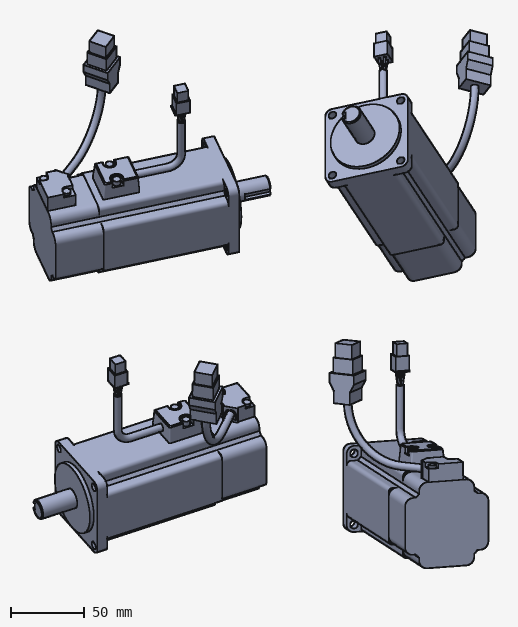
import cadquery as cq
import math

overall_length = 160.7
side = 60.0
half_side = side / 2
shaft_length = 30.0
shaft_dia = 14.0
shaft_chamfer = 0.8
key_width = 5.0
key_depth = 3.0
key_length = 18.8
flange_front = overall_length - shaft_length
flange_thickness = 7.7
flange_round = 5.0
bolt_offset = 24.7
bolt_dia = 5.5
pilot_dia = 50.0
pilot_height = 3.0
cover_length = 34.2
cover_step = 0.08
cover_half_side = half_side - cover_step

arm_half_width = 19.8
notch_chamfer = 2.4
body_round = 2.9
cover_round = 5.8

cable_dia = 5.5
cable_height = 35.5
screw_dia = 5.5

power_box_y = 52.4
power_box_width = 24.7
power_box_length = 26.0
power_box_top = 43.0
power_rim = 0.8
power_side_taper = 1.1
power_front_taper = 0.6
power_rear_taper = 1.3
power_edge_round = 1.0
power_screw_x = 8.0
power_screw_y = 50.3
power_pocket_dia = 7.9
power_pocket_floor = 38.4
power_pocket_chamfer = 0.6
power_screw_top = 42.5

power_riser_y = 98.7
power_bend_radius = 10.0
power_cable_end = 75.5
wire_dia = 1.5
wire_spread_start = 1.0
wire_spread_end = 2.1
plug_bottom = 85.7
plug_shoulder = 96.6
plug_top = 105.1
plug_base_width = 9.8
plug_tip_width = 7.9
plug_lip_thickness = 1.0
plug_lip_reach = 0.8

encoder_left = -13.0
encoder_right = 11.7
encoder_rear = cover_step
encoder_length = 20.0
encoder_top = 42.1
encoder_screws = ((7.9, 14.8, 1, 1), (-9.0, 3.9, -1, -1))
encoder_pocket_radius = 3.0
encoder_pocket_floor = 39.0
encoder_screw_top = 41.0
pad_width = 10.6
pad_thickness = 1.1
pad_distance = 19.3
entry_dia = 7.9
entry_depth = 0.8
entry_sill = 31.8

encoder_bend_radius = 40.8
encoder_cable_offset = 5.1
encoder_plug_distance = 77.5
encoder_plug_width = 18.5
encoder_neck_width = 12.2
encoder_middle_width = 14.8
encoder_tip_width = 12.7
encoder_neck_top = 84.8
encoder_flare_top = 90.6
encoder_plug_shoulder = 97.0
encoder_middle_top = 107.5
encoder_plug_top = 117.5


def along_y(start):
    """Workplane with local axes X and Z at Y = start; a negative extrusion runs toward +Y."""
    return cq.Workplane("XZ", origin=(0, start, 0))


def block(width, length, bottom, top, y=0):
    """Box centred on X = 0 and the given Y, between two heights."""
    return cq.Workplane("XY", origin=(0, y, bottom)).rect(width, length).extrude(top - bottom)


def cylinder(x, y, diameter, bottom, top):
    return cq.Workplane("XY", origin=(x, y, bottom)).circle(diameter / 2).extrude(top - bottom)


def notched_length(start, end, half, edge_round):
    """Square length of the motor body with a rounded notch along each corner."""
    arm = arm_half_width
    notch = (
        along_y(start)
        .moveTo(arm - edge_round, half)
        .radiusArc((arm, half - edge_round), edge_round)
        .lineTo(arm, arm + notch_chamfer)
        .lineTo(arm + notch_chamfer, arm)
        .lineTo(half - edge_round, arm)
        .radiusArc((half, arm - edge_round), edge_round)
        .lineTo(half, half)
        .close()
        .extrude(start - end)
    )
    length = along_y(start).rect(2 * half, 2 * half).extrude(start - end)
    for quarter in range(4):
        length = length.cut(notch.rotate((0, 0, 0), (0, 1, 0), 90 * quarter))
    return length


def motor():
    flange_rear = flange_front - flange_thickness
    pilot_front = flange_front + pilot_height
    flange = along_y(flange_rear).rect(side, side).extrude(-flange_thickness)
    flange = flange.edges("|Y").fillet(flange_round)
    bolts = (
        along_y(flange_rear)
        .rect(2 * bolt_offset, 2 * bolt_offset, forConstruction=True)
        .vertices()
        .circle(bolt_dia / 2)
        .extrude(-flange_thickness)
    )
    pilot = along_y(flange_front).circle(pilot_dia / 2).extrude(-pilot_height)
    shaft = along_y(pilot_front).circle(shaft_dia / 2).extrude(pilot_front - overall_length)
    shaft = shaft.faces(">Y").chamfer(shaft_chamfer)
    keyway = cq.Workplane("XY").box(key_depth, key_length, key_width).translate(
        ((shaft_dia - key_depth) / 2, overall_length - key_length / 2, 0)
    )
    body = notched_length(cover_length, flange_rear, half_side, body_round)
    cover = notched_length(0, cover_length, cover_half_side, cover_round)
    return cover.union(body).union(flange.cut(bolts)).union(pilot).union(shaft.cut(keyway))


def open_pocket(round_x, open_x, width, bottom, top):
    """Screw pocket with a round inner end at round_x, running out through the side; its rim is chamfered."""
    radius = width / 2
    inward = -math.copysign(radius, open_x - round_x)

    def outline(height):
        return (
            cq.Workplane("XY", origin=(0, power_screw_y, height))
            .moveTo(open_x, -radius)
            .lineTo(round_x, -radius)
            .threePointArc((round_x + inward, 0), (round_x, radius))
            .lineTo(open_x, radius)
            .close()
        )

    pocket = outline(bottom).extrude(top - bottom)
    rim = outline(top - power_pocket_chamfer).extrude(power_pocket_chamfer, taper=-45)
    return pocket.union(rim)


def power_box():
    shoulder_width = power_box_width - 2 * power_side_taper
    shoulder_length = power_box_length - power_front_taper - power_rear_taper
    shoulder_y = power_box_y + (power_rear_taper - power_front_taper) / 2

    def section(width, length, y, height):
        outline = cq.Sketch().rect(width, length).vertices().fillet(power_edge_round)
        return outline.moved(cq.Location(cq.Vector(0, y, height)))

    box = cq.Workplane("XY").placeSketch(
        section(power_box_width, power_box_length, power_box_y, half_side),
        section(shoulder_width, shoulder_length, shoulder_y, power_box_top - power_rim),
        section(shoulder_width - 2 * power_rim, shoulder_length - 2 * power_rim, shoulder_y, power_box_top),
    ).loft(ruled=True)
    for direction in (-1, 1):
        screw_x = direction * power_screw_x
        open_x = direction * power_box_width
        pocket = open_pocket(screw_x, open_x, power_pocket_dia, power_pocket_floor, power_box_top)
        screw = cylinder(screw_x, power_screw_y, screw_dia, power_pocket_floor, power_screw_top)
        box = box.cut(pocket).union(screw)
    return box


def wire_point(x_side, y_side, spread, height):
    return cq.Vector(x_side * spread, power_riser_y + y_side * spread, height)


def power_cable():
    """Cable from the box to the plug, ending in four wires that spread apart."""
    bend_start = power_riser_y - power_bend_radius
    path = (
        cq.Workplane("YZ")
        .moveTo(power_box_y, cable_height)
        .lineTo(bend_start, cable_height)
        .radiusArc((power_riser_y, cable_height + power_bend_radius), -power_bend_radius)
        .lineTo(power_riser_y, power_cable_end)
    )
    cable = along_y(power_box_y).center(0, cable_height).circle(cable_dia / 2).sweep(path)
    for x_side in (-1, 1):
        for y_side in (-1, 1):
            start = wire_point(x_side, y_side, wire_spread_start, power_cable_end)
            end = wire_point(x_side, y_side, wire_spread_end, plug_bottom)
            run = end - start
            wire = cq.Solid.makeCylinder(wire_dia / 2, run.Length, start, run)
            cable = cable.union(cq.Workplane(wire))
    return cable


def power_plug():
    base = block(plug_base_width, plug_base_width, plug_bottom, plug_shoulder, power_riser_y)
    tip = block(plug_tip_width, plug_tip_width, plug_shoulder, plug_top, power_riser_y)
    lip = block(
        plug_base_width,
        plug_base_width + plug_lip_reach,
        plug_bottom,
        plug_bottom + plug_lip_thickness,
        power_riser_y - plug_lip_reach / 2,
    )
    return base.union(tip).union(lip)


def turned_to_cable(shape):
    """Turn a shape built along +Y so that it points along the encoder cable."""
    return shape.rotate((0, 0, 0), (0, 0, 1), 45)


def encoder_box():
    width = encoder_right - encoder_left
    center_x = (encoder_right + encoder_left) / 2
    center_y = encoder_rear + encoder_length / 2
    height = encoder_top - cover_half_side
    box = block(width, encoder_length, cover_half_side, encoder_top).translate((center_x, center_y, 0))

    pad_back = pad_distance - pad_thickness
    beyond = block(2 * width, width, cover_half_side, encoder_top, pad_back + width / 2)
    pad = block(pad_width, pad_thickness, cover_half_side, encoder_top, pad_back + pad_thickness / 2)
    pad = pad.translate((encoder_cable_offset, 0, 0))
    box = box.cut(turned_to_cable(beyond)).union(turned_to_cable(pad))

    entry_radius = entry_dia / 2
    entry = (
        along_y(pad_distance - entry_depth)
        .moveTo(encoder_cable_offset - entry_radius, entry_sill)
        .lineTo(encoder_cable_offset - entry_radius, cable_height)
        .threePointArc(
            (encoder_cable_offset, cable_height + entry_radius),
            (encoder_cable_offset + entry_radius, cable_height),
        )
        .lineTo(encoder_cable_offset + entry_radius, entry_sill)
        .close()
        .extrude(-entry_depth)
    )
    box = box.cut(turned_to_cable(entry))

    reach = 2 * encoder_pocket_radius
    span = encoder_pocket_radius + reach
    shift = (reach - encoder_pocket_radius) / 2
    for x, y, x_side, y_side in encoder_screws:
        corner_point = (x - x_side * span, y - y_side * span, encoder_top)
        inner_corner = cq.selectors.NearestToPointSelector(corner_point)
        pocket = (
            cq.Workplane("XY", origin=(x + x_side * shift, y + y_side * shift, encoder_pocket_floor))
            .rect(span, span)
            .extrude(height)
            .edges("|Z")
            .edges(inner_corner)
            .fillet(encoder_pocket_radius)
        )
        screw = cylinder(x, y, screw_dia, encoder_pocket_floor, encoder_screw_top)
        box = box.cut(pocket).union(screw)
    return box


def encoder_cable():
    """Cable and plug, built in the plane of the cable and then turned to it."""
    start = pad_distance - pad_thickness
    path = (
        cq.Workplane("YZ", origin=(encoder_cable_offset, 0, 0))
        .moveTo(start, cable_height)
        .lineTo(encoder_plug_distance - encoder_bend_radius, cable_height)
        .radiusArc((encoder_plug_distance, cable_height + encoder_bend_radius), -encoder_bend_radius)
    )
    cable = along_y(start).center(encoder_cable_offset, cable_height).circle(cable_dia / 2).sweep(path)

    plug_bottom_height = cable_height + encoder_bend_radius
    neck = encoder_neck_width / 2
    wide = encoder_plug_width / 2
    plug = (
        cq.Workplane("YZ")
        .moveTo(-neck, plug_bottom_height)
        .lineTo(-neck, encoder_neck_top)
        .lineTo(-wide, encoder_flare_top)
        .lineTo(-wide, encoder_plug_shoulder)
        .lineTo(wide, encoder_plug_shoulder)
        .lineTo(wide, encoder_flare_top)
        .lineTo(neck, encoder_neck_top)
        .lineTo(neck, plug_bottom_height)
        .close()
        .extrude(wide, both=True)
        .union(block(encoder_middle_width, encoder_middle_width, encoder_plug_shoulder, encoder_middle_top))
        .union(block(encoder_tip_width, encoder_tip_width, encoder_middle_top, encoder_plug_top))
        .translate((encoder_cable_offset, encoder_plug_distance, 0))
    )
    return turned_to_cable(cable.union(plug))


result = (
    motor()
    .union(power_box())
    .union(power_cable())
    .union(power_plug())
    .union(encoder_box())
    .union(encoder_cable())
)